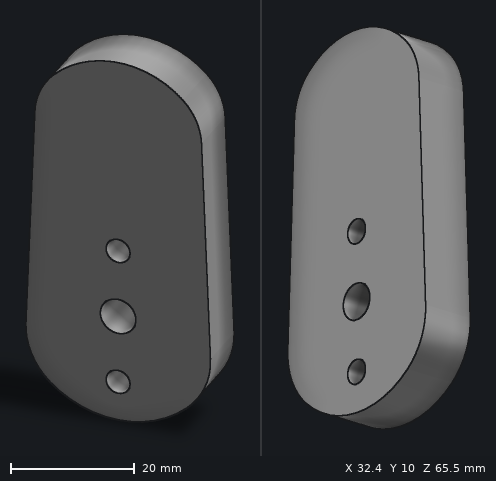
import cadquery as cq
import math

length = 65.5
bottom_width = 32.4
top_width = 29.3
thickness = 10.0

top_end_radius = 16.4
top_corner_radius = 10.7
bottom_end_radius = 18.0
bottom_corner_radius = 12.65

center_hole_diameter = 6.2
center_hole_z = -13.75
side_hole_diameter = 4.2
side_hole_spacing = 12.0


def corner_center(width, end_radius, corner_radius, end_sign):
    """Center of the right-hand corner arc, tangent inside the end arc."""
    x = width / 2 - corner_radius
    rise = math.sqrt((end_radius - corner_radius) ** 2 - x**2)
    z = end_sign * (length / 2 - end_radius + rise)
    return x, z


def point_on_arc(center, radius, angle):
    return center[0] + radius * math.cos(angle), center[1] + radius * math.sin(angle)


def mirrored(point):
    return -point[0], point[1]


def make_plate():
    top_center = corner_center(top_width, top_end_radius, top_corner_radius, 1)
    bottom_center = corner_center(bottom_width, bottom_end_radius, bottom_corner_radius, -1)

    dx = top_center[0] - bottom_center[0]
    dz = top_center[1] - bottom_center[1]
    radius_change = bottom_corner_radius - top_corner_radius
    side_angle = math.atan2(dz, dx) - math.pi / 2 + math.asin(radius_change / math.hypot(dx, dz))

    top_angle = math.atan2(top_center[1] - (length / 2 - top_end_radius), top_center[0])
    bottom_angle = math.atan2(bottom_center[1] + length / 2 - bottom_end_radius, bottom_center[0])

    def corner_points(center, radius, end_angle):
        """Side tangent point, arc midpoint and end-arc junction."""
        angles = (side_angle, (side_angle + end_angle) / 2, end_angle)
        return [point_on_arc(center, radius, angle) for angle in angles]

    top_side, top_mid, top_join = corner_points(top_center, top_corner_radius, top_angle)
    bottom_side, bottom_mid, bottom_join = corner_points(
        bottom_center, bottom_corner_radius, bottom_angle
    )

    return (
        cq.Workplane("XZ")
        .moveTo(*bottom_side)
        .lineTo(*top_side)
        .threePointArc(top_mid, top_join)
        .threePointArc((0, length / 2), mirrored(top_join))
        .threePointArc(mirrored(top_mid), mirrored(top_side))
        .lineTo(*mirrored(bottom_side))
        .threePointArc(mirrored(bottom_mid), mirrored(bottom_join))
        .threePointArc((0, -length / 2), bottom_join)
        .threePointArc(bottom_mid, bottom_side)
        .close()
        .extrude(thickness / 2, both=True)
    )


def make_holes(diameter, heights):
    return (
        cq.Workplane("XZ")
        .pushPoints([(0, z) for z in heights])
        .circle(diameter / 2)
        .extrude(thickness, both=True)
    )


side_hole_heights = [center_hole_z + side_hole_spacing, center_hole_z - side_hole_spacing]

result = (
    make_plate()
    .cut(make_holes(center_hole_diameter, [center_hole_z]))
    .cut(make_holes(side_hole_diameter, side_hole_heights))
)